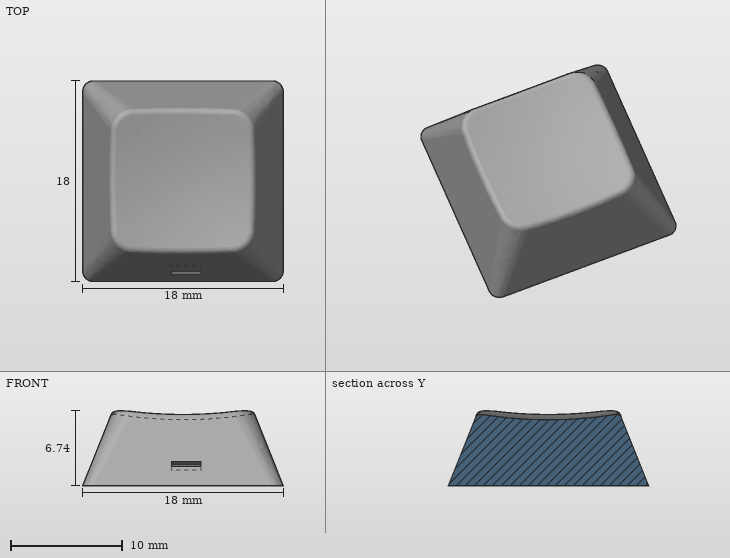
import cadquery as cq
import math

BASE_SIDE = 18.0
BASE_CORNER_RADIUS = 0.99
BLANK_HEIGHT = 7.2
BLANK_TOP_SIDE = 12.24
BLANK_TOP_CORNER_RADIUS = 1.98

DISH_RADIUS = 37.44
DISH_BOTTOM_Z = 5.92
RIM_RADIUS = 0.5

SLOT_LENGTH = 2.63
SLOT_HEIGHT = 0.49
SLOT_DEPTH = 0.8
SLOT_CENTER_X = 0.29
SLOT_CENTER_Z = 1.95

wall_inset = (BASE_SIDE - BLANK_TOP_SIDE) / 2
wall_lean = math.atan2(wall_inset, BLANK_HEIGHT)


def rounded_square(side, corner_radius):
    """Centred square face with round corners."""
    return cq.Sketch().rect(side, side).vertices().fillet(corner_radius)


def make_body():
    """Solid with ruled walls, dished top and rounded rim."""
    base = rounded_square(BASE_SIDE, BASE_CORNER_RADIUS)
    top = rounded_square(BLANK_TOP_SIDE, BLANK_TOP_CORNER_RADIUS)
    raised_top = top.moved(cq.Location(cq.Vector(0, 0, BLANK_HEIGHT)))
    blank = cq.Workplane("XY").placeSketch(base, raised_top).loft(ruled=True)
    dish = cq.Workplane("XY").sphere(DISH_RADIUS).translate((0, 0, DISH_BOTTOM_Z + DISH_RADIUS))
    return blank.cut(dish).faces("%SPHERE").edges().fillet(RIM_RADIUS)


def make_slot():
    """Block that cuts the slot, centred on the -Y wall surface at its mouth."""
    mouth_y = -BASE_SIDE / 2 + SLOT_CENTER_Z * math.tan(wall_lean)
    wall_plane = cq.Plane(
        origin=(SLOT_CENTER_X, mouth_y, SLOT_CENTER_Z),
        xDir=(1, 0, 0),
        normal=(0, -math.cos(wall_lean), math.sin(wall_lean)),
    )
    return cq.Workplane(wall_plane).rect(SLOT_LENGTH, SLOT_HEIGHT).extrude(-SLOT_DEPTH)


result = make_body().cut(make_slot())